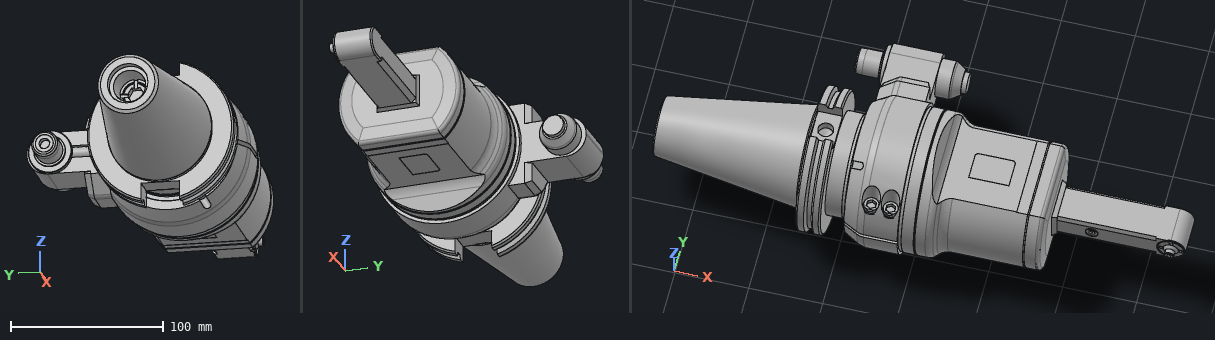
import cadquery as cq
import math


TAPER_LENGTH = 101.3
TAPER_RATIO = 7 / 48
TAPER_LARGE_RADIUS = 35.0
TAPER_CHAMFER = 1.3
TAPER_CHAMFER_DROP = 2.0
RELIEF_RADIUS = 34.0
RELIEF_SLOPE = 0.8
FLANGE_START = 104.0
FLANGE_END = 120.8
FLANGE_RADIUS = 49.1
FLANGE_CHAMFER = 1.2
V_GROOVE_CENTRE = 112.6
V_GROOVE_FLOOR_WIDTH = 3.0
V_GROOVE_MOUTH_WIDTH = 6.0
V_GROOVE_DEPTH = 3.0
NECK_RADIUS = 35.2
NECK_GROOVE_START = 132.0
NECK_GROOVE_WIDTH = 2.0
NECK_GROOVE_DEPTH = 0.5
KEYWAY_WIDTH = 25.7
KEYWAY_TOP_FLOOR = 37.7
KEYWAY_BOTTOM_FLOOR = 35.3
KEYWAY_HOLE_DIAMETER = 10.4
KEYWAY_HOLE_DEPTH = 6.0
DRILL_POINT_ANGLE = 118
DRAWBAR_BORE_DIAMETER = 27.0
DRAWBAR_BORE_DEPTH = 6.0
INNER_BORE_DIAMETER = 21.6
INNER_BORE_DEPTH = 26.0
BORE_SOCKET_FLATS = 10.0
BORE_SOCKET_DEPTH = 6.0
BORE_SLOT_WIDTH = 2.5
BORE_SLOT_DEPTH = 2.0
BORE_GROOVE_OUTER_DIAMETER = 18.0
BORE_GROOVE_INNER_DIAMETER = 16.0

RING_START = 135.7
RING_END = 173.4
RING_RADIUS = 51.0
RING_FRONT_RADIUS = 44.3
RING_CONE_END = 148.0
RING_CONE_FILLET = 10.0
RING_SPLIT_WIDTH = 3.0
RING_RECESS_RADIUS = 38.2
RING_RECESS_DEPTH = 1.0
SCREW_X = (153.4, 166.5)
SCREW_Y = -40.6
SCREW_BORE_DIAMETER = 12.0
SCREW_FLOOR_Z = 21.0
SCREW_HEAD_DIAMETER = 10.0
SCREW_HEAD_HEIGHT = 3.4
SCREW_SOCKET_FLATS = 6.0
SCREW_SOCKET_DEPTH = 3.0
NOTCH_ANGLES = (60, -60)
NOTCH_WIDTH = 5.0
NOTCH_END = 144.0
NOTCH_FLOOR_RADIUS = 41.0
BRACKET_END = 169.9
BRACKET_HALF_HEIGHT = 14.25
BRACKET_TIP_Y = 96.23
BRACKET_TIP_FILLET = 13.9
RIB_TOP_Y = 57.9
RIB_HALF_HEIGHT = 29.2
RIB_FRONT_HALF_HEIGHT = 16.0
RIB_SLOPE_END = 148.0
RIB_BEVEL_START_Y = 53.3
RIB_BEVEL_INSET = 2.0
RIB_SLOPE_FILLET = 5.0
ROD_DIAMETER = 8.0
ROD_SLOT_INNER_Y = 43.0

PIN_Y = 80.0
PIN_RADIUS = 9.0
PIN_START = 114.4
PIN_CHAMFER = 1.2
PIN_LAND_START = 119.8
PIN_LAND_STEP = 0.3
PIN_COLLAR_START = 131.0
PIN_COLLAR_RADIUS = 10.5
PIN_WASHER_START = 132.5
PIN_WASHER_RADIUS = 14.5
PIN_WASHER_CHAMFER = 0.3
PIN_CAP_RADIUS = 13.0
PIN_CAP_END = 179.4
PIN_CAP_CHAMFER_END = 180.6
PIN_CAP_CHAMFER_RADIUS = 12.2
PIN_CONE_END = 186.2
PIN_CONE_END_RADIUS = 8.6
PIN_LIP_RADIUS = 7.3
PIN_END = 189.6
PIN_RECESS_DIAMETER = 12.0
PIN_RECESS_DEPTH = 0.5
PIN_HOLE_DIAMETER = 7.0
PIN_HOLE_DEPTH = 5.0

HOLDER_SHOULDER_START = 175.6
HEAD_START = 184.3
SHOULDER_RADIUS = 49.0
SHOULDER_END = 191.8
SHOULDER_BLEND_END = (196.6, 47.2)
NECK_CONE_END = (198.9, 45.2)
HEAD_BODY_START = 205.3
HEAD_RADIUS = 42.5
HEAD_END = 268.9
HEAD_EDGE_START = 264.7
HEAD_EDGE_END = 267.4
HEAD_EDGE_DROP = 2.3
HEAD_FACE_DROP = 10.6
SEAM_WIDTH = 1.0
SEAM_DEPTH = 0.4
HEAD_SEAM_X = 256.6
FLAT_HALF_HEIGHT = 31.8
FLAT_SLOPE_TOP_X = 188.4
FLAT_SLOPE_END = 192.4
FLAT_SLOPE_END_Z = 38.0
FLAT_FLOOR_START = 196.6
FLAT_STEP_X = 248.7
FLAT_STEP_DEPTH = 0.2
FLAT_CUTTER_OVERRUN = 1.0
LABEL_CENTRE_X = 225.3
LABEL_LENGTH = 27.2
LABEL_WIDTH = 19.4
LABEL_CORNER = 1.5
LABEL_DEPTH = 0.2

ARM_END = 359.1
ARM_HALF_HEIGHT = 10.0
ARM_Y_MIN = -13.0
ARM_Y_MAX = 14.0
ARM_CHAMFER = 3.2
ARM_EDGE_CHAMFER = 1.0
ARM_FRONT_CHAMFER_DEPTH = 1.2
ARM_CHAMFER_END = 339.0
ARM_ROOT_LENGTH = 3.4
ARM_ROOT_FLARE = 1.3
ARM_TENON_LENGTH = 10.0
ARM_SCREW_X = 295.6
ARM_SCREW_DIAMETER = 8.5
ARM_SCREW_RECESS = 0.5
ARM_SCREW_SOCKET_FLATS = 4.0
ARM_SCREW_SOCKET_DEPTH = 2.0
TIP_DISC_RADIUS = 9.5
TIP_GROOVE_WIDTH = 2.5
TIP_GROOVE_DEPTH = 1.0
TIP_RIM_GROOVE_WIDTH = 0.6
TIP_HUB_RADIUS = 5.2
TIP_HUB_HEIGHT = 1.8
TIP_STUD_RADIUS = 3.3
TIP_STUD_END_Y = -18.3
TIP_STUD_CHAMFER = 0.5
TIP_STUD_HOLE_DIAMETER = 2.5
TIP_STUD_HOLE_DEPTH = 2.0


def revolve_x(profile):
    """Turn a closed (x, radius) sketch about the X axis."""
    return profile.close().revolve(360, (0, 0, 0), (1, 0, 0))


def box(x_range, y_range, z_range):
    return cq.Workplane("XY").box(
        x_range[1] - x_range[0],
        y_range[1] - y_range[0],
        z_range[1] - z_range[0],
        centered=False,
    ).translate((x_range[0], y_range[0], z_range[0]))


def cylinder_x(x_start, x_end, diameter, y=0):
    return cq.Workplane("YZ", origin=(x_start, y, 0)).circle(diameter / 2).extrude(x_end - x_start)


def seam(x_centre, outer_radius, inner_radius, width=SEAM_WIDTH):
    """Ring-shaped cutter for a groove around the axis."""
    start = x_centre - width / 2
    profile = cq.Workplane("XY").moveTo(start, inner_radius).lineTo(start, outer_radius)
    profile = profile.lineTo(start + width, outer_radius).lineTo(start + width, inner_radius)
    return revolve_x(profile)


def make_holder():
    small_radius = TAPER_LARGE_RADIUS - TAPER_LENGTH * TAPER_RATIO
    half_mouth = V_GROOVE_MOUTH_WIDTH / 2
    half_floor = V_GROOVE_FLOOR_WIDTH / 2
    groove_radius = FLANGE_RADIUS - V_GROOVE_DEPTH
    rim = FLANGE_RADIUS - FLANGE_CHAMFER
    neck_groove_end = NECK_GROOVE_START + NECK_GROOVE_WIDTH
    outline = [
        (0, 0),
        (0, small_radius - TAPER_CHAMFER_DROP),
        (TAPER_CHAMFER, small_radius + TAPER_CHAMFER * TAPER_RATIO),
        (TAPER_LENGTH, TAPER_LARGE_RADIUS),
        (TAPER_LENGTH + RELIEF_SLOPE, RELIEF_RADIUS),
        (FLANGE_START - RELIEF_SLOPE, RELIEF_RADIUS),
        (FLANGE_START, TAPER_LARGE_RADIUS),
        (FLANGE_START, rim),
        (FLANGE_START + FLANGE_CHAMFER, FLANGE_RADIUS),
        (V_GROOVE_CENTRE - half_mouth, FLANGE_RADIUS),
        (V_GROOVE_CENTRE - half_floor, groove_radius),
        (V_GROOVE_CENTRE + half_floor, groove_radius),
        (V_GROOVE_CENTRE + half_mouth, FLANGE_RADIUS),
        (FLANGE_END - FLANGE_CHAMFER, FLANGE_RADIUS),
        (FLANGE_END, rim),
        (FLANGE_END, NECK_RADIUS),
        (NECK_GROOVE_START, NECK_RADIUS),
        (NECK_GROOVE_START, NECK_RADIUS - NECK_GROOVE_DEPTH),
        (neck_groove_end, NECK_RADIUS - NECK_GROOVE_DEPTH),
        (neck_groove_end, NECK_RADIUS),
        (RING_END, NECK_RADIUS),
        (RING_END, SHOULDER_RADIUS - SEAM_DEPTH),
        (HOLDER_SHOULDER_START, SHOULDER_RADIUS - SEAM_DEPTH),
        (HOLDER_SHOULDER_START, SHOULDER_RADIUS),
        (HEAD_START, SHOULDER_RADIUS),
        (HEAD_START, 0),
    ]
    holder = revolve_x(cq.Workplane("XY").polyline(outline))
    holder = holder.cut(seam(HEAD_START, RING_RADIUS, SHOULDER_RADIUS - SEAM_DEPTH))
    holder = cut_keyways(holder)
    return cut_drawbar_bore(holder)


def cut_keyways(holder):
    flange = (TAPER_LENGTH, FLANGE_END)
    width = (-KEYWAY_WIDTH / 2, KEYWAY_WIDTH / 2)
    holder = holder.cut(box(flange, width, (KEYWAY_TOP_FLOOR, RING_RADIUS)))
    holder = holder.cut(box(flange, width, (-RING_RADIUS, -KEYWAY_BOTTOM_FLOOR)))
    hole_radius = KEYWAY_HOLE_DIAMETER / 2
    point = hole_radius / math.tan(math.radians(DRILL_POINT_ANGLE / 2))
    hole = cq.Workplane("XZ").moveTo(0, KEYWAY_TOP_FLOOR).lineTo(hole_radius, KEYWAY_TOP_FLOOR)
    hole = hole.lineTo(hole_radius, KEYWAY_TOP_FLOOR - KEYWAY_HOLE_DEPTH)
    hole = hole.lineTo(0, KEYWAY_TOP_FLOOR - KEYWAY_HOLE_DEPTH - point).close()
    hole = hole.revolve(360, (0, 0, 0), (0, 1, 0)).translate((V_GROOVE_CENTRE, 0, 0))
    return holder.cut(hole)


def cut_drawbar_bore(holder):
    """Stepped bore whose floor carries a hexagon socket, four slots and a ring groove."""
    holder = holder.cut(cylinder_x(0, DRAWBAR_BORE_DEPTH, DRAWBAR_BORE_DIAMETER))
    holder = holder.cut(cylinder_x(0, INNER_BORE_DEPTH, INNER_BORE_DIAMETER))
    half_slot = BORE_SLOT_WIDTH / 2
    half_bore = INNER_BORE_DIAMETER / 2
    slot_x = (INNER_BORE_DEPTH, INNER_BORE_DEPTH + BORE_SLOT_DEPTH)
    across = box(slot_x, (-half_bore, half_bore), (-half_slot, half_slot))
    upright = box(slot_x, (-half_slot, half_slot), (-half_bore, half_bore))
    holder = holder.cut(across.union(upright).intersect(cylinder_x(*slot_x, INNER_BORE_DIAMETER)))
    groove = cylinder_x(*slot_x, BORE_GROOVE_OUTER_DIAMETER)
    holder = holder.cut(groove.cut(cylinder_x(*slot_x, BORE_GROOVE_INNER_DIAMETER)))
    socket = cq.Workplane("YZ", origin=(INNER_BORE_DEPTH, 0, 0))
    socket = socket.polygon(6, BORE_SOCKET_FLATS, circumscribed=True).extrude(BORE_SOCKET_DEPTH)
    return holder.cut(socket.rotate((0, 0, 0), (1, 0, 0), 90))


def make_ring():
    profile = cq.Workplane("XY").polyline([
        (RING_START, 0),
        (RING_START, RING_FRONT_RADIUS),
        (RING_CONE_END, RING_RADIUS),
        (RING_END, RING_RADIUS),
        (RING_END, 0),
    ])
    ring = revolve_x(profile)
    crest = cq.selectors.BoxSelector(
        (RING_CONE_END - 1, -2 * RING_RADIUS, -2 * RING_RADIUS),
        (RING_CONE_END + 1, 2 * RING_RADIUS, 2 * RING_RADIUS),
    )
    ring = ring.edges(crest).fillet(RING_CONE_FILLET)
    ring = ring.union(make_rib()).union(make_bracket())
    ring = ring.cut(cylinder_x(RING_START, RING_END, 2 * NECK_RADIUS))
    ring = ring.cut(cylinder_x(RING_START, RING_START + RING_RECESS_DEPTH, 2 * RING_RECESS_RADIUS))
    half_split = RING_SPLIT_WIDTH / 2
    ring = ring.cut(box((RING_START, RING_END), (-RING_RADIUS, 0), (-half_split, half_split)))
    for x in SCREW_X:
        ring = ring.cut(screw_bore(x))
    for angle in NOTCH_ANGLES:
        ring = ring.cut(spanner_notch(angle))
    return ring.cut(rod_slot()).cut(cylinder_x(RING_START, BRACKET_END, 2 * PIN_RADIUS, PIN_Y))


def make_rib():
    """Wedge-fronted block under the bracket, bevelled around its outer end."""
    half_plan = [
        (RING_START, RIB_FRONT_HALF_HEIGHT),
        (RIB_SLOPE_END, RIB_HALF_HEIGHT),
        (BRACKET_END, RIB_HALF_HEIGHT),
    ]
    plan = half_plan + [(x, -z) for x, z in reversed(half_plan)]
    rib = cq.Workplane("XZ").polyline(plan).close().extrude(-RIB_BEVEL_START_Y)
    rib = rib.edges("|Y").edges(cq.selectors.BoxSelector(
        (RIB_SLOPE_END - 1, 0, -RING_RADIUS),
        (RIB_SLOPE_END + 1, RIB_TOP_Y, RING_RADIUS),
    )).fillet(RIB_SLOPE_FILLET)
    bevel_height = RIB_TOP_Y - RIB_BEVEL_START_Y
    bevel_angle = math.degrees(math.atan(RIB_BEVEL_INSET / bevel_height))
    bevel = rib.faces(">Y").wires().toPending().workplane().extrude(
        bevel_height, combine=False, taper=bevel_angle)
    return rib.union(bevel)


def make_bracket():
    height = (-BRACKET_HALF_HEIGHT, BRACKET_HALF_HEIGHT)
    bracket = box((RING_START, BRACKET_END), (0, BRACKET_TIP_Y), height)
    return bracket.faces(">Y").edges("|X").fillet(BRACKET_TIP_FILLET)


def screw_bore(x):
    """Counterbore around a socket-head screw that stands on its floor."""
    floor = cq.Workplane("XY", origin=(x, SCREW_Y, SCREW_FLOOR_Z))
    bore = floor.circle(SCREW_BORE_DIAMETER / 2).extrude(RING_RADIUS)
    screw = floor.circle(SCREW_HEAD_DIAMETER / 2).extrude(SCREW_HEAD_HEIGHT)
    socket = floor.workplane(offset=SCREW_HEAD_HEIGHT)
    socket = socket.polygon(6, SCREW_SOCKET_FLATS, circumscribed=True).extrude(-SCREW_SOCKET_DEPTH)
    return bore.cut(screw.cut(socket))


def spanner_notch(angle):
    """Round-ended slot in the cone of the ring, open to the front."""
    half_width = NOTCH_WIDTH / 2
    round_centre = NOTCH_END - half_width
    slot = box((RING_START, round_centre), (-RING_RADIUS, -NOTCH_FLOOR_RADIUS), (-half_width, half_width))
    end = cq.Workplane("XZ", origin=(round_centre, -NOTCH_FLOOR_RADIUS, 0)).circle(half_width)
    slot = slot.union(end.extrude(RING_RADIUS - NOTCH_FLOOR_RADIUS))
    return slot.rotate((0, 0, 0), (1, 0, 0), -angle)


def rod_slot():
    """Slot in the front of the bracket that leaves a half-round rod standing in it."""
    radius = ROD_DIAMETER / 2
    rod_x = RING_START + radius
    slot = box((RING_START, rod_x), (ROD_SLOT_INNER_Y, PIN_Y), (-radius, radius))
    rod = cq.Workplane("XZ", origin=(rod_x, ROD_SLOT_INNER_Y, 0)).circle(radius)
    return slot.cut(rod.extrude(ROD_SLOT_INNER_Y - PIN_Y))


def make_pin():
    outline = [
        (PIN_START, 0),
        (PIN_START, PIN_RADIUS - PIN_LAND_STEP - PIN_CHAMFER),
        (PIN_START + PIN_CHAMFER, PIN_RADIUS - PIN_LAND_STEP),
        (PIN_LAND_START, PIN_RADIUS),
        (PIN_COLLAR_START, PIN_RADIUS),
        (PIN_COLLAR_START, PIN_COLLAR_RADIUS),
        (PIN_WASHER_START, PIN_COLLAR_RADIUS),
        (PIN_WASHER_START, PIN_WASHER_RADIUS - PIN_WASHER_CHAMFER),
        (PIN_WASHER_START + PIN_WASHER_CHAMFER, PIN_WASHER_RADIUS),
        (RING_START, PIN_WASHER_RADIUS),
        (RING_START, PIN_RADIUS),
        (BRACKET_END, PIN_RADIUS),
        (BRACKET_END, PIN_CAP_RADIUS),
        (PIN_CAP_END, PIN_CAP_RADIUS),
        (PIN_CAP_CHAMFER_END, PIN_CAP_CHAMFER_RADIUS),
        (PIN_CONE_END, PIN_CONE_END_RADIUS),
        (PIN_CONE_END, PIN_LIP_RADIUS),
        (PIN_END, PIN_LIP_RADIUS),
        (PIN_END, 0),
    ]
    pin = revolve_x(cq.Workplane("XY").polyline(outline))
    pin = pin.cut(cylinder_x(PIN_START, PIN_START + PIN_RECESS_DEPTH, PIN_RECESS_DIAMETER))
    pin = pin.cut(cylinder_x(PIN_START, PIN_START + PIN_HOLE_DEPTH, PIN_HOLE_DIAMETER))
    return pin.translate((0, PIN_Y, 0))


def make_head():
    profile = cq.Workplane("XY").moveTo(HEAD_START, 0).lineTo(HEAD_START, SHOULDER_RADIUS)
    profile = profile.lineTo(SHOULDER_END, SHOULDER_RADIUS)
    profile = profile.tangentArcPoint(SHOULDER_BLEND_END, relative=False)
    profile = profile.lineTo(*NECK_CONE_END)
    profile = profile.tangentArcPoint((HEAD_BODY_START, HEAD_RADIUS), relative=False)
    profile = profile.lineTo(HEAD_EDGE_START, HEAD_RADIUS)
    profile = profile.tangentArcPoint((HEAD_EDGE_END, HEAD_RADIUS - HEAD_EDGE_DROP), relative=False)
    profile = profile.lineTo(HEAD_END, HEAD_RADIUS - HEAD_FACE_DROP)
    head = revolve_x(profile.lineTo(HEAD_END, 0))
    head = head.cut(seam(HEAD_START, RING_RADIUS, SHOULDER_RADIUS - SEAM_DEPTH))
    head = head.cut(seam(HEAD_SEAM_X, RING_RADIUS, HEAD_RADIUS - SEAM_DEPTH))
    for side in (1, -1):
        head = cut_flat(head, side)
    return head.cut(arm_tenon())


def cut_flat(head, side):
    """Flat on one side of the head, running up a slope to the shoulder."""
    top = RING_RADIUS
    stepped_floor = FLAT_HALF_HEIGHT - FLAT_STEP_DEPTH
    rim_floor = stepped_floor - HEAD_FACE_DROP
    cutter_end = HEAD_END + FLAT_CUTTER_OVERRUN
    slope_run = (FLAT_SLOPE_END - FLAT_SLOPE_TOP_X) / (SHOULDER_RADIUS - FLAT_SLOPE_END_Z)
    outline = cq.Workplane("XZ").moveTo(FLAT_SLOPE_END - slope_run * (top - FLAT_SLOPE_END_Z), top)
    outline = outline.lineTo(FLAT_SLOPE_END, FLAT_SLOPE_END_Z)
    outline = outline.tangentArcPoint((FLAT_FLOOR_START, FLAT_HALF_HEIGHT), relative=False)
    outline = outline.lineTo(FLAT_STEP_X, FLAT_HALF_HEIGHT)
    outline = outline.lineTo(FLAT_STEP_X, stepped_floor).lineTo(HEAD_EDGE_START, stepped_floor)
    outline = outline.tangentArcPoint((HEAD_EDGE_END, stepped_floor - HEAD_EDGE_DROP), relative=False)
    outline = outline.lineTo(HEAD_END, rim_floor)
    outline = outline.lineTo(cutter_end, rim_floor).lineTo(cutter_end, top)
    flat = outline.close().extrude(top, both=True)
    label = cq.Workplane("XY", origin=(LABEL_CENTRE_X, 0, FLAT_HALF_HEIGHT - LABEL_DEPTH))
    label = label.rect(LABEL_LENGTH, LABEL_WIDTH).extrude(top - FLAT_HALF_HEIGHT)
    label = label.edges("|Z and >Y").chamfer(LABEL_CORNER)
    groove_x = (HEAD_SEAM_X - SEAM_WIDTH / 2, HEAD_SEAM_X + SEAM_WIDTH / 2)
    groove = box(groove_x, (-top, top), (stepped_floor - SEAM_DEPTH, top))
    for cutter in (flat, label, groove):
        if side < 0:
            cutter = cutter.mirror("XY")
        head = head.cut(cutter)
    return head


def arm_tenon():
    return box(
        (HEAD_END - ARM_TENON_LENGTH, HEAD_END),
        (ARM_Y_MIN, ARM_Y_MAX),
        (-ARM_HALF_HEIGHT, ARM_HALF_HEIGHT),
    )


def make_arm():
    tip_x = ARM_END - ARM_HALF_HEIGHT
    height = (-ARM_HALF_HEIGHT, ARM_HALF_HEIGHT)
    arm = box((HEAD_END, tip_x), (ARM_Y_MIN, ARM_Y_MAX), height)
    tip = cq.Workplane("XZ", origin=(tip_x, ARM_Y_MIN, 0)).circle(ARM_HALF_HEIGHT)
    arm = arm.union(tip.extrude(ARM_Y_MIN - ARM_Y_MAX))
    arm = arm.faces(">Y").edges("not <X").chamfer(ARM_EDGE_CHAMFER)
    for side in (1, -1):
        arm = arm.cut(arm_chamfer(ARM_Y_MIN, ARM_FRONT_CHAMFER_DEPTH, side))
        arm = arm.cut(arm_chamfer(ARM_Y_MAX, -ARM_CHAMFER, side))
    arm = arm.union(arm_root()).union(arm_tenon())
    arm = arm.cut(arm_screw_recess())
    return add_tip(arm, tip_x)


def arm_chamfer(y, depth, side):
    corner = side * ARM_HALF_HEIGHT
    cutter = cq.Workplane("YZ", origin=(HEAD_END, 0, 0)).polyline([
        (y, corner),
        (y + depth, corner),
        (y, corner - side * ARM_CHAMFER),
    ])
    return cutter.close().extrude(ARM_CHAMFER_END - HEAD_END)


def arm_root():
    """Flared foot where the arm meets the end face of the head."""
    middle = (ARM_Y_MIN + ARM_Y_MAX) / 2
    width = ARM_Y_MAX - ARM_Y_MIN
    height = 2 * ARM_HALF_HEIGHT
    foot = cq.Workplane("YZ", origin=(HEAD_END, middle, 0))
    foot = foot.rect(width + 2 * ARM_ROOT_FLARE, height + 2 * ARM_ROOT_FLARE)
    return foot.workplane(offset=ARM_ROOT_LENGTH).rect(width, height).loft(ruled=True)


def arm_screw_recess():
    plane = cq.Workplane("XZ", origin=(ARM_SCREW_X, ARM_Y_MIN, 0))
    recess = plane.circle(ARM_SCREW_DIAMETER / 2).extrude(-ARM_SCREW_RECESS)
    socket = plane.polygon(6, ARM_SCREW_SOCKET_FLATS, circumscribed=True).extrude(-ARM_SCREW_SOCKET_DEPTH)
    return recess.union(socket)


def add_tip(arm, tip_x):
    """Cross-grooved disc with a hub and a stud on the -Y side of the tip."""
    face = cq.Workplane("XZ", origin=(tip_x, ARM_Y_MIN, 0))
    grooves = face.rect(2 * TIP_DISC_RADIUS, TIP_GROOVE_WIDTH).extrude(-TIP_GROOVE_DEPTH)
    grooves = grooves.union(face.rect(TIP_GROOVE_WIDTH, 2 * TIP_DISC_RADIUS).extrude(-TIP_GROOVE_DEPTH))
    disc = face.circle(TIP_DISC_RADIUS).extrude(-TIP_GROOVE_DEPTH)
    rim_groove = face.circle(TIP_DISC_RADIUS).circle(TIP_DISC_RADIUS - TIP_RIM_GROOVE_WIDTH)
    rim_groove = rim_groove.extrude(-TIP_GROOVE_DEPTH)
    hub_base = face.circle(TIP_HUB_RADIUS).extrude(-TIP_GROOVE_DEPTH)
    hub = face.circle(TIP_HUB_RADIUS).workplane(offset=TIP_HUB_HEIGHT).circle(TIP_STUD_RADIUS).loft()
    stud = face.circle(TIP_STUD_RADIUS).extrude(ARM_Y_MIN - TIP_STUD_END_Y)
    stud = stud.faces("<Y").chamfer(TIP_STUD_CHAMFER)
    arm = arm.cut(grooves.intersect(disc)).cut(rim_groove).union(hub_base).union(hub).union(stud)
    hole = cq.Workplane("XZ", origin=(tip_x, TIP_STUD_END_Y, 0)).circle(TIP_STUD_HOLE_DIAMETER / 2)
    return arm.cut(hole.extrude(-TIP_STUD_HOLE_DEPTH))


holder = make_holder()
ring = make_ring()
pin = make_pin()
head = make_head()
arm = make_arm()

result = cq.Compound.makeCompound([
    holder.val(),
    ring.val(),
    pin.val(),
    head.val(),
    arm.val(),
])